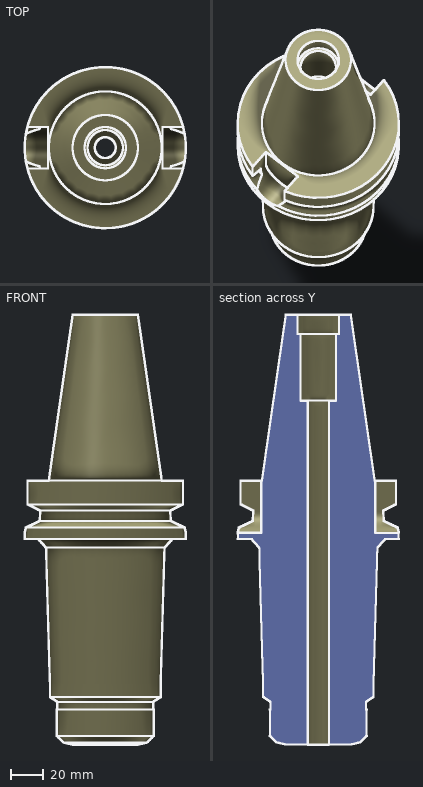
import cadquery as cq

height = 266.8

shank_top_radius = 20.3
shank_base_radius = 35.0
shank_base_z = 165.1
flange_top_z = 163.8

flange_diameter = 100.0
flange_radius = flange_diameter / 2
groove_radius = 42.5
groove_upper_edge_z = 149.1
groove_upper_floor_z = 145.1
groove_lower_floor_z = 138.7
groove_lower_edge_z = 134.7
flange_bottom_z = 127.5
collar_radius = 41.5

body_top_radius = 36.8
body_top_z = 122.2
body_base_radius = 34.5
body_taper_end_z = 37.5
body_base_z = 29.5

nose_neck_radius = 30.0
nose_radius = 30.1
nose_neck_end_z = 22.0
nose_shoulder_z = 26.7
nose_chamfer_z = 5.5
nose_end_radius = 26.0
nose_end_z = 1.3
nose_face_radius = 20.0

keyway_width = 25.5
keyway_depth_below_flange_top = 32.3
keyway_floor_x = 35.5

counterbore_radius = 12.8
counterbore_depth = 12.0
thread_bore_radius = 11.0
thread_bore_depth = 53.4
through_bore_radius = 6.5


def turned_body():
    """Solid of revolution from a half outline of (radius, Z) points."""
    outline = [
        (0, height),
        (shank_top_radius, height),
        (shank_base_radius, shank_base_z),
        (shank_base_radius, flange_top_z),
        (flange_radius, flange_top_z),
        (flange_radius, groove_upper_edge_z),
        (groove_radius, groove_upper_floor_z),
        (groove_radius, groove_lower_floor_z),
        (flange_radius, groove_lower_edge_z),
        (flange_radius, flange_bottom_z),
        (collar_radius, flange_bottom_z),
        (body_top_radius, body_top_z),
        (body_base_radius, body_taper_end_z),
        (body_base_radius, body_base_z),
        (nose_neck_radius, nose_shoulder_z),
        (nose_neck_radius, nose_neck_end_z),
        (nose_radius, nose_neck_end_z),
        (nose_radius, nose_chamfer_z),
        (nose_end_radius, nose_end_z),
        (nose_face_radius, 0),
        (0, 0),
    ]
    return cq.Workplane("XZ").polyline(outline).close().revolve(360, (0, 0), (0, 1))


def keyway(side):
    """Round-bottomed slot cutter outside the keyway floor; side is -1 or +1 along X."""
    half_width = keyway_width / 2
    bottom_z = flange_top_z - keyway_depth_below_flange_top
    arc_center_z = bottom_z + half_width
    return (
        cq.Workplane("YZ", origin=(side * keyway_floor_x, 0, 0))
        .moveTo(-half_width, flange_top_z)
        .lineTo(-half_width, arc_center_z)
        .threePointArc((0, bottom_z), (half_width, arc_center_z))
        .lineTo(half_width, flange_top_z)
        .close()
        .extrude(side * flange_radius)
    )


def bore(radius, depth):
    """Axial bore cutter reaching down from the shank end face."""
    return cq.Workplane("XY", origin=(0, 0, height)).circle(radius).extrude(-depth)


result = turned_body()
for side in (-1, 1):
    result = result.cut(keyway(side))
for radius, depth in (
    (counterbore_radius, counterbore_depth),
    (thread_bore_radius, thread_bore_depth),
    (through_bore_radius, height),
):
    result = result.cut(bore(radius, depth))